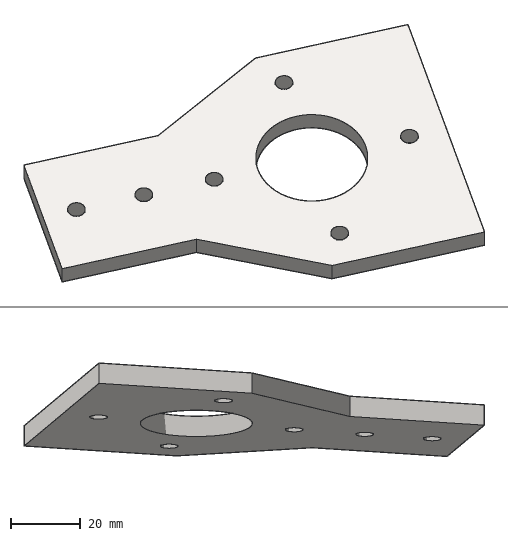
import cadquery as cq
import math

length = 120.0
head_width = 80.0
thickness = 6.0

stem_width = head_width / 2
stem_length = 40.0
taper_angle = 60.0

bore_diameter = 32.0
screw_diameter = 5.0
bolt_circle_radius = 29.0
stem_hole_heights = (10.0, 30.0)

taper_run = (head_width - stem_width) / 2
taper_rise = taper_run * math.tan(math.radians(taper_angle))
shoulder_y = stem_length + taper_rise
bore_y = length - head_width / 2


def make_plate():
    """Wide head narrowing symmetrically to the stem."""
    right_side = [
        (stem_width / 2, 0),
        (stem_width / 2, stem_length),
        (head_width / 2, shoulder_y),
        (head_width / 2, length),
    ]
    left_side = [(-x, y) for x, y in reversed(right_side)]
    return cq.Workplane("XY").polyline(right_side + left_side).close().extrude(thickness)


def make_through_holes(centers, diameter):
    """Cylinders that pass through the whole plate."""
    return cq.Workplane("XY").pushPoints(centers).circle(diameter / 2).extrude(thickness)


bolt_centers = [
    (bolt_circle_radius, bore_y),
    (-bolt_circle_radius, bore_y),
    (0, bore_y + bolt_circle_radius),
    (0, bore_y - bolt_circle_radius),
]
stem_centers = [(0, y) for y in stem_hole_heights]

result = (
    make_plate()
    .cut(make_through_holes([(0, bore_y)], bore_diameter))
    .cut(make_through_holes(bolt_centers + stem_centers, screw_diameter))
)